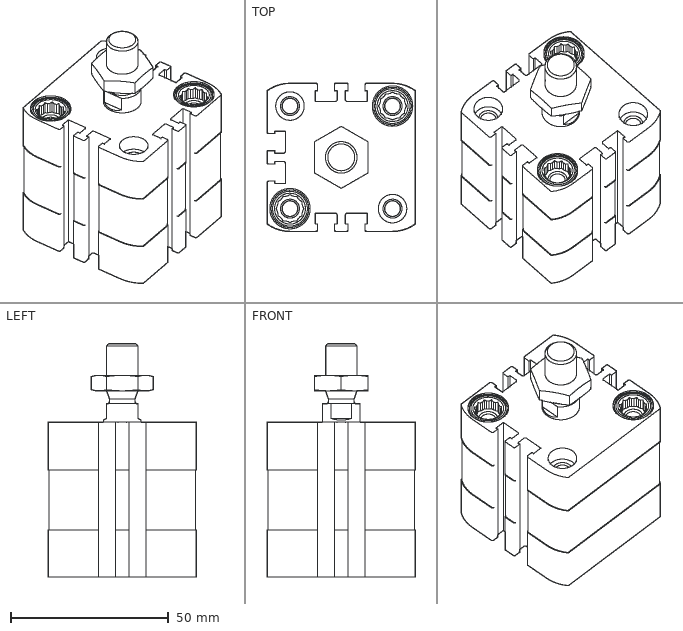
import cadquery as cq
import math

width = 47.0
half_width = width / 2
housing_height = 49.1
middle_bottom = 14.9
middle_top = 34.0
middle_inset = 0.2
corner_radius = 12.3
corner_start = 16.3
corner_blend = 0.5

lip_offset = 7.5
wall_offset = 8.2
stem_offset = 1.3
stem_lip_offset = 2.15
lip_depth = 2.45
slot_depth = 5.8
lip_fillet = 0.5
stem_fillet = 0.5
stem_lip_fillet = 0.3
slotted_sides = (0, 180, 270)

hole_spacing = 32.5
hole_diameter = 4.9
hole_mouth_diameter = 6.0
counterbore_diameter = 9.0
counterbore_depth = 5.0

collar_recess_diameter = 12.8
collar_recess_depth = 0.6
collar_diameter = 11.9
collar_chamfer_width = 0.45
collar_chamfer_height = 0.2
socket_mouth_diameter = 9.8
socket_mouth_height = 0.95
socket_diameter = 8.2
socket_tip_diameter = 8.9
socket_depth = 4.95

total_height = 74.0
rod_diameter = 12.0
rod_flats = 10.0
rod_flat_bottom = 50.3
rod_flat_slope = 30
shoulder_top = 55.0
neck_foot_diameter = 9.0
neck_diameter = 8.2
neck_bottom = 55.65
neck_top = 56.45
thread_diameter = 10.0
thread_end_diameter = 8.5
thread_chamfer = (thread_diameter - thread_end_diameter) / 2

nut_flats = 17.0
nut_height = 4.95
nut_bottom = 59.0
nut_face_diameter = 16.7
nut_chamfer_angle = 15


def block_section(bottom, top, inset):
    """One height range of the slotted block, with its outer side faces moved in by the inset."""
    face = half_width - inset
    radius = corner_radius - inset
    run = face - corner_start
    corner_end = face - radius + math.sqrt(radius**2 - run**2)
    section = (
        cq.Workplane("XY", origin=(0, 0, bottom))
        .moveTo(-corner_start, face)
        .lineTo(corner_start, face)
        .radiusArc((face, corner_end), radius)
        .lineTo(face, -corner_end)
        .radiusArc((corner_start, -face), radius)
        .lineTo(-corner_start, -face)
        .radiusArc((-face, -corner_end), radius)
        .lineTo(-face, corner_end)
        .radiusArc((-corner_start, face), radius)
        .close()
        .extrude(top - bottom)
        .edges("|Z")
        .edges("<X or >X")
        .fillet(corner_blend)
    )
    slot_lip = half_width - lip_depth
    slot_floor = half_width - slot_depth
    slot = (
        cq.Workplane("XY", origin=(0, 0, bottom))
        .moveTo(stem_lip_offset - stem_lip_fillet, face)
        .lineTo(lip_offset + lip_fillet, face)
        .radiusArc((lip_offset, face - lip_fillet), -lip_fillet)
        .lineTo(lip_offset, slot_lip)
        .lineTo(wall_offset, slot_lip)
        .lineTo(wall_offset, slot_floor)
        .lineTo(stem_offset + stem_fillet, slot_floor)
        .radiusArc((stem_offset, slot_floor + stem_fillet), stem_fillet)
        .lineTo(stem_offset, slot_lip)
        .lineTo(stem_lip_offset, slot_lip)
        .lineTo(stem_lip_offset, face - stem_lip_fillet)
        .radiusArc((stem_lip_offset - stem_lip_fillet, face), -stem_lip_fillet)
        .close()
        .extrude(top - bottom)
    )
    slot_pair = slot.union(slot.mirror("YZ"))
    for angle in slotted_sides:
        section = section.cut(slot_pair.rotate((0, 0, 0), (0, 0, 1), -angle))
    return section


def cone(bottom_diameter, top_diameter, bottom, height):
    """A truncated cone on the Z axis."""
    solid = cq.Solid.makeCone(bottom_diameter / 2, top_diameter / 2, height, pnt=(0, 0, bottom))
    return cq.Workplane(solid)


def cylinder(diameter, bottom, top):
    """A cylinder on the Z axis."""
    return cq.Workplane("XY", origin=(0, 0, bottom)).circle(diameter / 2).extrude(top - bottom)


def through_hole(floor):
    """A hole through the housing with a 45 degree countersink below the given floor."""
    mouth_depth = (hole_mouth_diameter - hole_diameter) / 2
    mouth = cone(hole_diameter, hole_mouth_diameter, floor - mouth_depth, mouth_depth)
    return cylinder(hole_diameter, 0, floor).union(mouth)


def counterbored_hole():
    """A through hole below a flat-bottomed counterbore."""
    floor = housing_height - counterbore_depth
    return through_hole(floor).union(cylinder(counterbore_diameter, floor, housing_height))


def collar_hole():
    """A socketed hole inside a collar that stands in a shallow recess."""
    floor = housing_height - socket_depth
    recess_floor = housing_height - collar_recess_depth
    collar_top = recess_floor + collar_chamfer_height
    collar_top_diameter = collar_diameter - 2 * collar_chamfer_width
    collar = cone(collar_diameter, collar_top_diameter, recess_floor, collar_chamfer_height)
    recess = cylinder(collar_recess_diameter, recess_floor, housing_height).cut(collar)

    mouth_bottom = collar_top - socket_mouth_height
    mouth = cone(socket_diameter, socket_mouth_diameter, mouth_bottom, socket_mouth_height)

    socket = cylinder(socket_diameter, floor, collar_top)
    for angle in (0, 30):
        hexagon = (
            cq.Workplane("XY", origin=(0, 0, floor))
            .polygon(6, socket_tip_diameter)
            .extrude(collar_top - floor)
            .rotate((0, 0, 0), (0, 0, 1), angle)
        )
        socket = socket.union(hexagon)
    return through_hole(floor).union(recess).union(mouth).union(socket)


def make_housing():
    """The slotted block with plain holes on one diagonal and collared holes on the other."""
    housing = (
        block_section(0, middle_bottom, 0)
        .union(block_section(middle_bottom, middle_top, middle_inset))
        .union(block_section(middle_top, housing_height, 0))
    )
    reach = hole_spacing / 2
    for side in (-1, 1):
        housing = housing.cut(counterbored_hole().translate((side * reach, -side * reach, 0)))
        housing = housing.cut(collar_hole().translate((side * reach, side * reach, 0)))
    return housing


def make_rod():
    """The rod, with a necked thread above and two wrench flats facing -Y and +Y."""
    rod = (
        cq.Workplane("XZ")
        .moveTo(0, housing_height)
        .lineTo(rod_diameter / 2, housing_height)
        .lineTo(rod_diameter / 2, shoulder_top)
        .lineTo(neck_foot_diameter / 2, shoulder_top)
        .radiusArc((neck_diameter / 2, neck_bottom), neck_bottom - shoulder_top)
        .lineTo(neck_diameter / 2, neck_top)
        .lineTo(thread_diameter / 2, nut_bottom)
        .lineTo(thread_diameter / 2, total_height - thread_chamfer)
        .lineTo(thread_end_diameter / 2, total_height)
        .lineTo(0, total_height)
        .close()
        .revolve(360, (0, 0, 0), (0, 1, 0))
    )
    flat = rod_flats / 2
    drop = (rod_diameter / 2 - flat) * math.tan(math.radians(rod_flat_slope))
    flat_cut = (
        cq.Workplane("YZ")
        .moveTo(flat, rod_flat_bottom)
        .lineTo(rod_diameter / 2, rod_flat_bottom - drop)
        .lineTo(rod_diameter / 2, shoulder_top)
        .lineTo(flat, shoulder_top)
        .close()
        .extrude(rod_diameter / 2, both=True)
    )
    return rod.cut(flat_cut).cut(flat_cut.mirror("XZ"))


def make_nut(rod):
    """A hexagon with corners on the Y axis, chamfered on both faces and bored to fit the rod."""
    corner_diameter = nut_flats / math.cos(math.radians(30))
    chamfer = (corner_diameter - nut_face_diameter) / 2 * math.tan(math.radians(nut_chamfer_angle))
    chamfered_disc = (
        cq.Workplane("XZ", origin=(0, 0, nut_bottom))
        .lineTo(nut_face_diameter / 2, 0)
        .lineTo(corner_diameter / 2, chamfer)
        .lineTo(corner_diameter / 2, nut_height - chamfer)
        .lineTo(nut_face_diameter / 2, nut_height)
        .lineTo(0, nut_height)
        .close()
        .revolve(360, (0, 0, 0), (0, 1, 0))
    )
    hexagon = (
        cq.Workplane("XY", origin=(0, 0, nut_bottom))
        .polygon(6, corner_diameter)
        .extrude(nut_height)
        .rotate((0, 0, 0), (0, 0, 1), 30)
    )
    return hexagon.intersect(chamfered_disc).cut(rod)


housing = make_housing()
rod = make_rod()
nut = make_nut(rod)

result = cq.Compound.makeCompound([housing.val(), rod.val(), nut.val()])